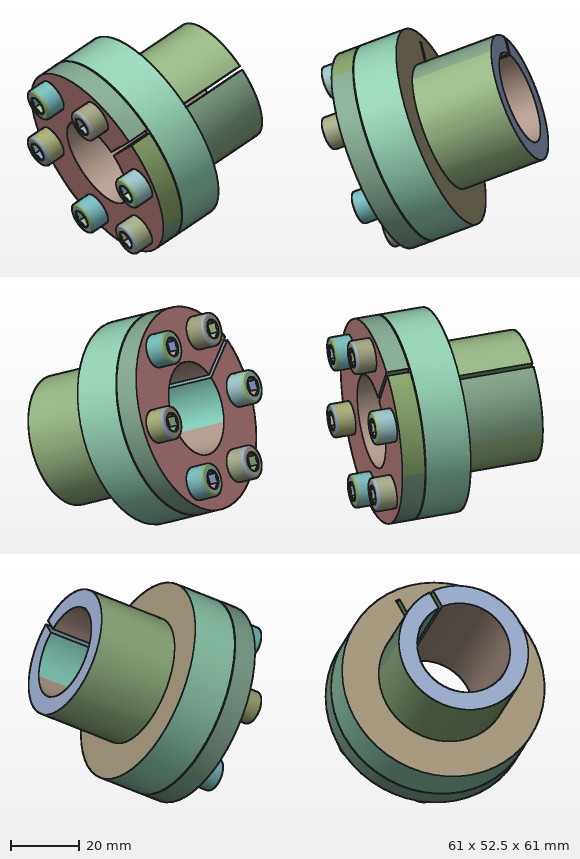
import cadquery as cq
import math

hub_diameter = 61.0
core_diameter = 55.0
sleeve_diameter = 39.0
bore_diameter = 28.0
flange_thickness = 6.95
groove_width = 0.25
ring_thickness = 13.8
sleeve_length = 25.55
ring_start = flange_thickness + groove_width
sleeve_start = ring_start + ring_thickness
hub_length = sleeve_start + sleeve_length

slit_width = 1.2
slit_angle = 60.0

screw_count = 6
screw_circle_diameter = 47.05
first_screw_angle = 90.0
head_diameter = 10.0
head_height = 6.0
head_fillet = 0.8
socket_flats = 5.0
socket_corners = socket_flats / math.cos(math.pi / 6)
socket_depth = 3.0
socket_chamfer = (socket_corners - socket_flats) / 2


def cylinder(diameter, start, length):
    """Cylinder around the Y axis, from Y = start to Y = start + length."""
    return cq.Workplane("XZ", origin=(0, start, 0)).circle(diameter / 2).extrude(-length)


def make_slit():
    """Radial slab that cuts one side of the hub along its whole length."""
    slab = cq.Workplane("XY").box(hub_diameter, hub_length, slit_width, centered=(False, False, True))
    return slab.rotate((0, 0, 0), (0, 1, 0), -slit_angle)


def make_hub():
    """Slit flange, core and sleeve, with an unslit ring around the core behind a thin groove."""
    flange = cylinder(hub_diameter, 0, flange_thickness)
    core = cylinder(core_diameter, flange_thickness, sleeve_start - flange_thickness)
    sleeve = cylinder(sleeve_diameter, sleeve_start, sleeve_length)
    slit_part = flange.union(core).union(sleeve).cut(make_slit())
    ring = cylinder(hub_diameter, ring_start, ring_thickness).cut(
        cylinder(core_diameter, ring_start, ring_thickness)
    )
    return slit_part.union(ring).cut(cylinder(bore_diameter, 0, hub_length))


def make_screw():
    """Screw head standing on the plane Y = 0, with its hexagon socket facing -Y."""
    head = cylinder(head_diameter, -head_height, head_height)
    head = head.faces("<Y").edges().fillet(head_fillet)
    top = cq.Workplane("XZ", origin=(0, -head_height, 0))
    socket = top.polygon(6, socket_corners).extrude(-socket_depth)
    lead_in = cq.Workplane(
        cq.Solid.makeCone(
            socket_corners / 2,
            socket_flats / 2,
            socket_chamfer,
            pnt=cq.Vector(0, -head_height, 0),
            dir=cq.Vector(0, 1, 0),
        )
    )
    return head.cut(socket).cut(lead_in)


hub = make_hub()

screws = []
for i in range(screw_count):
    angle = math.radians(first_screw_angle + i * 360 / screw_count)
    x = screw_circle_diameter / 2 * math.cos(angle)
    z = screw_circle_diameter / 2 * math.sin(angle)
    screws.append(make_screw().translate((x, 0, z)).val())

result = cq.Compound.makeCompound([hub.val(), *screws])